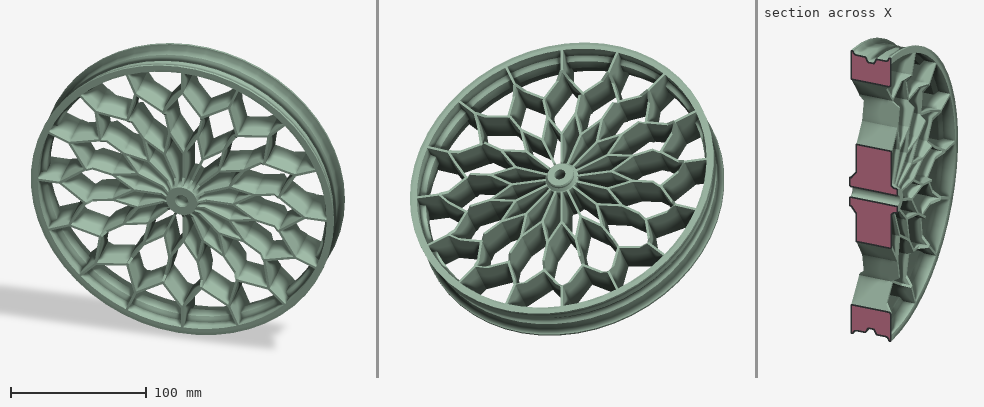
import cadquery as cq
import math

wheel_radius = 115.5
rim_width = 32.3
tread_radius = 112.5
flange_thickness = 1.6
groove_radius = 108.5
groove_top_width = 8.8
groove_bottom_width = 4.6
rim_wall = 2.3

hub_front_projection = 1.5
hub_rear_projection = 5.3
hub_face_radius = 11.8
hub_barrel_radius = 12.5
bore_radius = 4.2
bore_chamfer = 1.0
collar_radius = 10.2
collar_length = 1.6
collar_chamfer = 1.2
collar_chamfer_inset = 0.7
flare_length = 2.0

spoke_count = 16
strut_width = 1.8
dish_depth = 4.2
dish_inner_radius = 17.0
dish_outer_radius = 70.7
dish_slope_width = 3.5
web_rear_projection = 0.5
channel_depth = 5.3
channel_inner_radius = 70.7
channel_outer_radius = 92.9
petal_tip_radius = 93.3
petal_fork_radius = 75.3
leaf_fork_radius = 55.2
leaf_root_radius = 37.9

half_rim = rim_width / 2
dish_y = -half_rim + dish_depth
channel_y = half_rim - channel_depth
web_rear_y = half_rim + web_rear_projection
flange_fillet = wheel_radius - tread_radius
rim_inner_radius = tread_radius - rim_wall
groove_inner_radius = groove_radius - rim_wall
step_angle = 360 / spoke_count


def revolve_about_y(profile):
    """Turn a closed (radius, y) profile a full turn about the wheel axis."""
    return profile.close().revolve(360, (0, 0, 0), (0, 1, 0))


def make_rim():
    """Flanged rim with a tread groove whose wall bulges inward."""
    flange_y = half_rim - flange_thickness
    tread_y = flange_y - flange_fillet
    top_y = groove_top_width / 2
    bottom_y = groove_bottom_width / 2
    fillet_mid_radius = wheel_radius - flange_fillet * math.sin(math.pi / 4)
    fillet_mid_y = flange_y - flange_fillet * (1 - math.cos(math.pi / 4))
    profile = (
        cq.Workplane("XY")
        .moveTo(rim_inner_radius, -half_rim)
        .lineTo(wheel_radius, -half_rim)
        .lineTo(wheel_radius, -flange_y)
        .threePointArc((fillet_mid_radius, -fillet_mid_y), (tread_radius, -tread_y))
        .lineTo(tread_radius, -top_y)
        .lineTo(groove_radius, -bottom_y)
        .lineTo(groove_radius, bottom_y)
        .lineTo(tread_radius, top_y)
        .lineTo(tread_radius, tread_y)
        .threePointArc((fillet_mid_radius, fillet_mid_y), (wheel_radius, flange_y))
        .lineTo(wheel_radius, half_rim)
        .lineTo(rim_inner_radius, half_rim)
        .lineTo(rim_inner_radius, top_y + rim_wall)
        .lineTo(groove_inner_radius, bottom_y + rim_wall)
        .lineTo(groove_inner_radius, -bottom_y - rim_wall)
        .lineTo(rim_inner_radius, -top_y - rim_wall)
    )
    return revolve_about_y(profile)


def make_hub():
    """Bored hub with a flat front face and a chamfered collar at the rear."""
    front_y = -half_rim - hub_front_projection
    rear_y = half_rim + hub_rear_projection
    collar_rear_y = rear_y - collar_chamfer
    collar_front_y = collar_rear_y - collar_length
    profile = (
        cq.Workplane("XY")
        .moveTo(bore_radius + bore_chamfer, front_y)
        .lineTo(hub_face_radius, front_y)
        .lineTo(hub_face_radius, -half_rim)
        .lineTo(hub_barrel_radius, dish_y)
        .lineTo(hub_barrel_radius, half_rim)
        .lineTo(hub_face_radius, collar_front_y - flare_length)
        .lineTo(collar_radius, collar_front_y)
        .lineTo(collar_radius, collar_rear_y)
        .lineTo(collar_radius - collar_chamfer_inset, rear_y)
        .lineTo(bore_radius, rear_y)
        .lineTo(bore_radius, front_y + bore_chamfer)
    )
    return revolve_about_y(profile)


def make_web_blank():
    """Disc that fills the rim, with a shallow dish in its front and a ring channel in its rear."""
    profile = (
        cq.Workplane("XY")
        .moveTo(hub_face_radius, -half_rim)
        .lineTo(dish_inner_radius, dish_y)
        .lineTo(dish_outer_radius, dish_y)
        .lineTo(dish_outer_radius + dish_slope_width, -half_rim)
        .lineTo(rim_inner_radius, -half_rim)
        .lineTo(rim_inner_radius, -groove_top_width / 2)
        .lineTo(groove_inner_radius, -groove_bottom_width / 2)
        .lineTo(groove_inner_radius, groove_bottom_width / 2)
        .lineTo(rim_inner_radius, groove_top_width / 2)
        .lineTo(rim_inner_radius, half_rim)
        .lineTo(channel_outer_radius, half_rim)
        .lineTo(channel_outer_radius - channel_depth, channel_y)
        .lineTo(channel_inner_radius + dish_slope_width, channel_y)
        .lineTo(channel_inner_radius, web_rear_y)
        .lineTo(hub_face_radius, web_rear_y)
    )
    return revolve_about_y(profile)


def node(radius, steps):
    """Lattice point a number of spoke steps away from the X axis."""
    angle = math.radians(steps * step_angle)
    return (radius * math.cos(angle), radius * math.sin(angle))


def make_cell(corners):
    """Through pocket whose walls lie half a strut inside the given corners."""
    return (
        cq.Workplane("XZ")
        .workplane(offset=-rim_width)
        .polyline(corners)
        .close()
        .offset2D(-strut_width / 2, "intersection")
        .extrude(2 * rim_width)
    )


def make_cells():
    """One rim cell, one petal cell and one hub cell of the lattice."""
    beyond_rim_radius = wheel_radius + flange_fillet + rim_wall
    rim_cell = make_cell([
        node(petal_tip_radius, 0),
        node(beyond_rim_radius, 0),
        node(beyond_rim_radius, 1),
        node(petal_tip_radius, 1),
        node(petal_fork_radius, 0.5),
    ])
    petal_cell = make_cell([
        node(petal_tip_radius, 0),
        node(petal_fork_radius, 0.5),
        node(leaf_fork_radius, 0.5),
        node(leaf_root_radius, 0),
        node(leaf_fork_radius, -0.5),
        node(petal_fork_radius, -0.5),
    ])
    hub_cell = make_cell([
        (0, 0),
        node(leaf_root_radius, 0),
        node(leaf_fork_radius, 0.5),
        node(leaf_root_radius, 1),
    ])
    return [rim_cell, petal_cell, hub_cell]


def make_web():
    """Spoke lattice left when every cell is cut from the web blank."""
    cutters = [
        cell.rotate((0, 0, 0), (0, 1, 0), step * step_angle).val()
        for cell in make_cells()
        for step in range(spoke_count)
    ]
    return make_web_blank().cut(cq.Workplane(cq.Compound.makeCompound(cutters)))


result = make_rim().union(make_web()).union(make_hub())